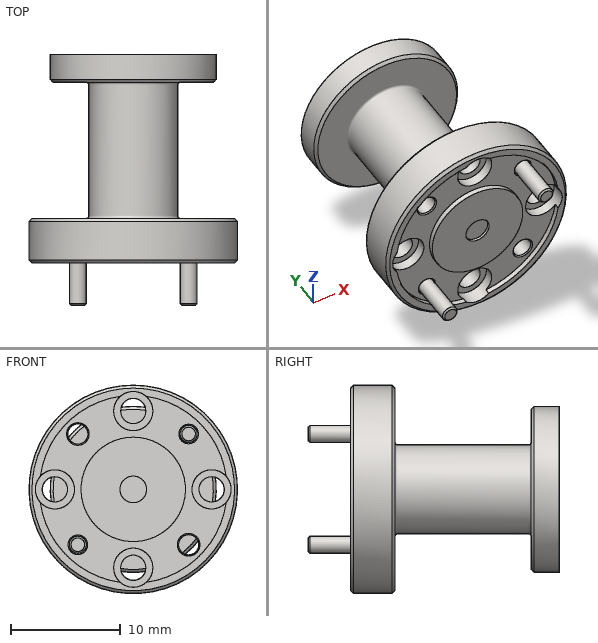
import cadquery as cq
import math


overall_length = 22.92
pin_protrusion = 3.85
front_flange_diameter = 19.05
front_flange_radius = front_flange_diameter / 2
front_flange_thickness = 4.08
front_flange_chamfer = 0.28
rear_flange_radius = 7.59
rear_flange_thickness = 2.57
rear_flange_chamfer = 0.28
tube_radius = 4.08
tube_fillet = 0.23

recess_radius = 8.57
recess_depth = 0.5
boss_radius = 4.77
bore_radius = 1.21
bore_depth = 0.25

bolt_circle_radius = 7.15
screw_hole_radius = 1.15
counterbore_radius = 1.79
counterbore_depth = 1.5
dowel_hole_radius = 0.92
hole_mouth_chamfer = 0.11

pin_radius = 0.78
pin_chamfer = 0.15

body_length = overall_length - pin_protrusion
rear_flange_front = body_length - rear_flange_thickness

screw_angles = [0, 90, 180, 270]
pin_angles = [45, 225]
dowel_hole_angles = [135, 315]


def rod(radius, start, end, x=0.0, z=0.0):
    """Cylinder along Y between two depths."""
    return cq.Workplane(cq.Solid.makeCylinder(radius, end - start, cq.Vector(x, start, z), cq.Vector(0, 1, 0)))


def cone(start_radius, end_radius, start, length, x=0.0, z=0.0):
    """Truncated cone along Y, starting at the given depth."""
    return cq.Workplane(
        cq.Solid.makeCone(start_radius, end_radius, length, cq.Vector(x, start, z), cq.Vector(0, 1, 0))
    )


def bolt_circle_point(angle):
    """X and Z of a hole center on the bolt circle."""
    radians = math.radians(angle)
    return bolt_circle_radius * math.cos(radians), bolt_circle_radius * math.sin(radians)


def make_blank():
    """Two chamfered flanges joined by a tube with a fillet at each end."""
    front = rod(front_flange_radius, 0, front_flange_thickness).edges().chamfer(front_flange_chamfer)
    rear = rod(rear_flange_radius, rear_flange_front, body_length)
    rear = rear.faces("<Y").edges().chamfer(rear_flange_chamfer)
    tube = rod(tube_radius, front_flange_thickness, rear_flange_front)
    blank = front.union(tube).union(rear)
    corners = blank.edges("%CIRCLE").filter(lambda edge: math.isclose(edge.radius(), tube_radius))
    return corners.fillet(tube_fillet)


def cut_mating_face(body):
    """Ring recess that leaves the boss level with the rim, and the shallow center bore."""
    recess = rod(recess_radius, 0, recess_depth).cut(rod(boss_radius, 0, recess_depth))
    return body.cut(recess).cut(rod(bore_radius, 0, bore_depth))


def cut_screw_hole(body, angle):
    """Counterbored through hole."""
    x, z = bolt_circle_point(angle)
    body = body.cut(rod(counterbore_radius, 0, counterbore_depth, x, z))
    return body.cut(rod(screw_hole_radius, 0, front_flange_thickness, x, z))


def cut_plain_hole(body, angle, radius):
    """Through hole with a chamfered mouth in the recessed face."""
    x, z = bolt_circle_point(angle)
    body = body.cut(rod(radius, 0, front_flange_thickness, x, z))
    mouth_radius = radius + hole_mouth_chamfer
    return body.cut(cone(mouth_radius, radius, recess_depth, hole_mouth_chamfer, x, z))


def make_housing():
    body = cut_mating_face(make_blank())
    for angle in screw_angles:
        body = cut_screw_hole(body, angle)
    for angle in dowel_hole_angles:
        body = cut_plain_hole(body, angle, dowel_hole_radius)
    for angle in pin_angles:
        body = cut_plain_hole(body, angle, pin_radius)
    return body


def make_pin(angle):
    """Pin that fills its hole and stands out in front of the rim."""
    x, z = bolt_circle_point(angle)
    pin = rod(pin_radius, -pin_protrusion, front_flange_thickness, x, z)
    return pin.faces("<Y").edges().chamfer(pin_chamfer)


housing = make_housing()
pins = [make_pin(angle) for angle in pin_angles]

result = cq.Compound.makeCompound([housing.val(), *[pin.val() for pin in pins]])